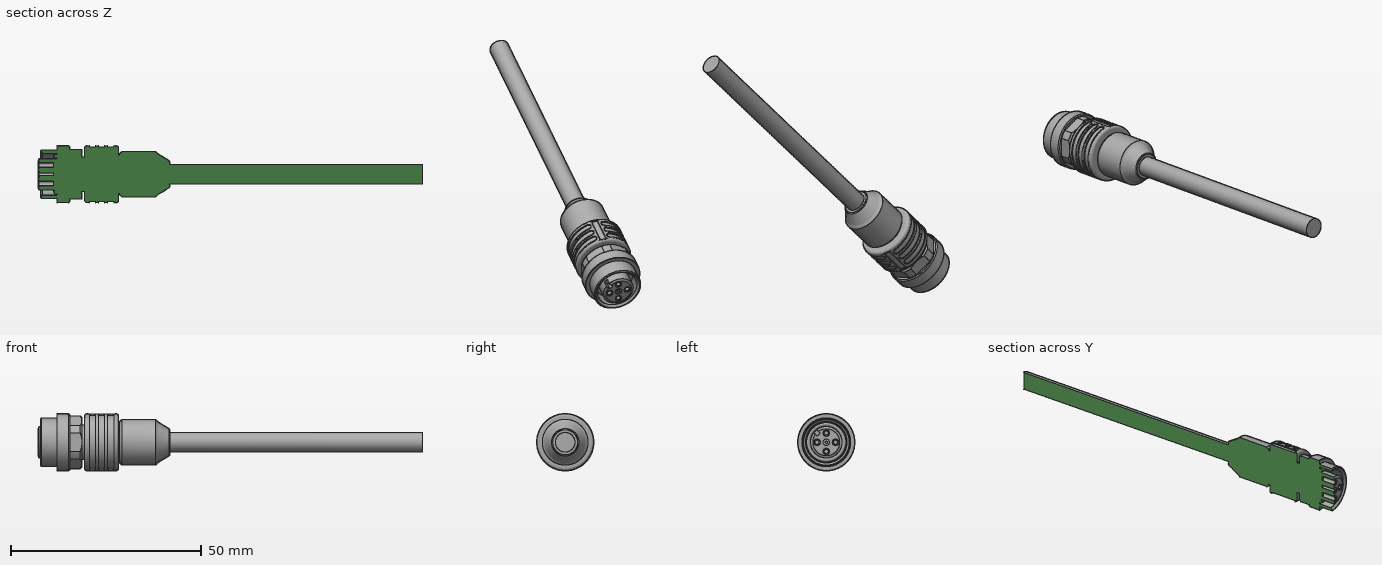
import cadquery as cq
import math

LENGTH = 101.0
MAX_DIAMETER = 15.0

INSERT_DIAMETER = 8.3
INSERT_EDGE_LENGTH = 0.3
INSERT_EDGE_DEPTH = 0.6
CONTACT_DIAMETER = 1.1
CENTRE_CONTACT_DIAMETER = 0.6
CONTACT_MOUTH_DIAMETER = 1.7
CONTACT_MOUTH_DEPTH = 0.3
CONTACT_CIRCLE_RADIUS = 2.4
CONTACT_COUNT = 4
CONTACT_DEPTH = 4.0
KEYWAY_WIDTH = 1.1
KEYWAY_DEPTH = 2.0
KEYWAY_FLOOR_RADIUS = 2.8
KEYWAY_ANGLE = 45

SHELL_START = 0.7
SHELL_DIAMETER = 12.8
SHELL_RIM_DIAMETER = 12.3
BORE_DIAMETER = 10.9
BORE_MOUTH_DIAMETER = 12.0

SEAL_SECTION = 1.1
SEAL_CENTRE_HEIGHT = 0.3

COLLAR_START = 4.9
COLLAR_END = 8.4
COLLAR_FRONT_EDGE = 0.1
COLLAR_REAR_EDGE = 0.3
HEX_END = 11.5
HEX_ACROSS_FLATS = 13.0
HEX_ROUND_DIAMETER = 13.9
HEX_EDGE = 0.4
NECK_DIAMETER = 9.1

GRIP_START = 12.2
GRIP_END = 21.2
GRIP_EDGE = 0.7
RECESS_DEPTH = 0.3
GROOVE_WIDTH = 1.6
GROOVE_PITCH = 2.4
GROOVE_END_GAP = 1.4
BAR_WIDTH = 1.6
BAR_CORNER = 0.4

BODY_NECK_DIAMETER = 10.3
BODY_START = 21.4
BODY_END = 30.9
BODY_DIAMETER = 12.0
BODY_EDGE = 0.6
CONE_END = 34.6
CONE_END_DIAMETER = 7.0
CONE_EDGE = 0.2
CABLE_DIAMETER = 5.2


def cylinder(start, end, diameter):
    return cq.Workplane("YZ", origin=(start, 0, 0)).circle(diameter / 2).extrude(end - start)


def cone(start, end, start_diameter, end_diameter):
    return (
        cq.Workplane("YZ", origin=(start, 0, 0))
        .circle(start_diameter / 2)
        .workplane(offset=end - start)
        .circle(end_diameter / 2)
        .loft()
    )


def contact_hole(y, z, diameter):
    mouth = cylinder(0, CONTACT_MOUTH_DEPTH, CONTACT_MOUTH_DIAMETER)
    return cylinder(0, CONTACT_DEPTH, diameter).union(mouth).translate((0, y, z))


def make_insert():
    insert = cylinder(0, COLLAR_START, INSERT_DIAMETER)
    insert = insert.faces("<X").chamfer(INSERT_EDGE_LENGTH, INSERT_EDGE_DEPTH)
    insert = insert.cut(contact_hole(0, 0, CENTRE_CONTACT_DIAMETER))
    for number in range(CONTACT_COUNT):
        angle = 2 * math.pi * number / CONTACT_COUNT
        y = CONTACT_CIRCLE_RADIUS * math.cos(angle)
        z = CONTACT_CIRCLE_RADIUS * math.sin(angle)
        insert = insert.cut(contact_hole(y, z, CONTACT_DIAMETER))
    keyway = (
        cq.Workplane("XY")
        .box(KEYWAY_DEPTH, INSERT_DIAMETER, KEYWAY_WIDTH, centered=(False, False, True))
        .translate((0, KEYWAY_FLOOR_RADIUS, 0))
        .rotate((0, 0, 0), (1, 0, 0), KEYWAY_ANGLE)
    )
    return insert.cut(keyway)


def make_shell():
    rim = (SHELL_DIAMETER - SHELL_RIM_DIAMETER) / 2
    shell = cylinder(SHELL_START, COLLAR_START, SHELL_DIAMETER).faces("<X").chamfer(rim)
    bore = cylinder(SHELL_START, COLLAR_START, BORE_DIAMETER)
    mouth_depth = (BORE_MOUTH_DIAMETER - BORE_DIAMETER) / 2
    mouth = cone(SHELL_START, SHELL_START + mouth_depth, BORE_MOUTH_DIAMETER, BORE_DIAMETER)
    return shell.cut(bore).cut(mouth)


def make_seal():
    radius = (INSERT_DIAMETER + SEAL_SECTION) / 2
    centre = COLLAR_START - SEAL_CENTRE_HEIGHT
    return (
        cq.Workplane("XY", origin=(centre, radius, 0))
        .circle(SEAL_SECTION / 2)
        .revolve(360, (0, -radius, 0), (1, -radius, 0))
    )


def make_collar():
    collar = cylinder(COLLAR_START, COLLAR_END, MAX_DIAMETER)
    collar = collar.faces("<X").chamfer(COLLAR_FRONT_EDGE).faces(">X").chamfer(COLLAR_REAR_EDGE)
    envelope = cylinder(COLLAR_END, HEX_END, HEX_ROUND_DIAMETER).faces(">X").chamfer(HEX_EDGE)
    hexagon = (
        cq.Workplane("YZ", origin=(COLLAR_END, 0, 0))
        .polygon(6, HEX_ACROSS_FLATS, circumscribed=True)
        .extrude(HEX_END - COLLAR_END)
        .intersect(envelope)
    )
    neck = cylinder(HEX_END, GRIP_START, NECK_DIAMETER)
    return collar.union(hexagon).union(neck)


def make_grip():
    length = GRIP_END - GRIP_START
    middle = GRIP_START + length / 2
    core = cylinder(GRIP_START, GRIP_END, MAX_DIAMETER - 2 * RECESS_DEPTH)
    skin = cylinder(GRIP_START, GRIP_END, MAX_DIAMETER).cut(core)
    grip = cylinder(GRIP_START, GRIP_END, MAX_DIAMETER).faces("<X or >X").fillet(GRIP_EDGE)
    for step in (-1, 0, 1):
        for side in (-1, 1):
            x = middle + step * GROOVE_PITCH
            y = side * (GROOVE_END_GAP + MAX_DIAMETER / 2)
            slot = cq.Workplane("XY", origin=(x, y, 0)).slot2D(MAX_DIAMETER, GROOVE_WIDTH, 90)
            grip = grip.cut(slot.extrude(MAX_DIAMETER / 2, both=True).intersect(skin))
    bar = (
        cq.Workplane("XY", origin=(middle, 0, 0))
        .box(length - 2 * GRIP_EDGE, BAR_WIDTH, MAX_DIAMETER)
        .edges("|Z")
        .fillet(BAR_CORNER)
    )
    return grip.cut(bar.intersect(skin))


def make_body():
    neck = cylinder(GRIP_END, BODY_START, BODY_NECK_DIAMETER)
    cone_start = BODY_END + BODY_EDGE
    body = cylinder(BODY_START, cone_start, BODY_DIAMETER).faces("<X or >X").chamfer(BODY_EDGE)
    tail = cone(cone_start, CONE_END, BODY_DIAMETER - 2 * BODY_EDGE, CONE_END_DIAMETER)
    tail = tail.faces(">X").chamfer(CONE_EDGE)
    return neck.union(body).union(tail)


cable = cylinder(CONE_END, LENGTH, CABLE_DIAMETER)
result = make_shell().union(make_collar()).union(make_insert()).union(make_seal())
result = result.union(make_grip()).union(make_body()).union(cable)